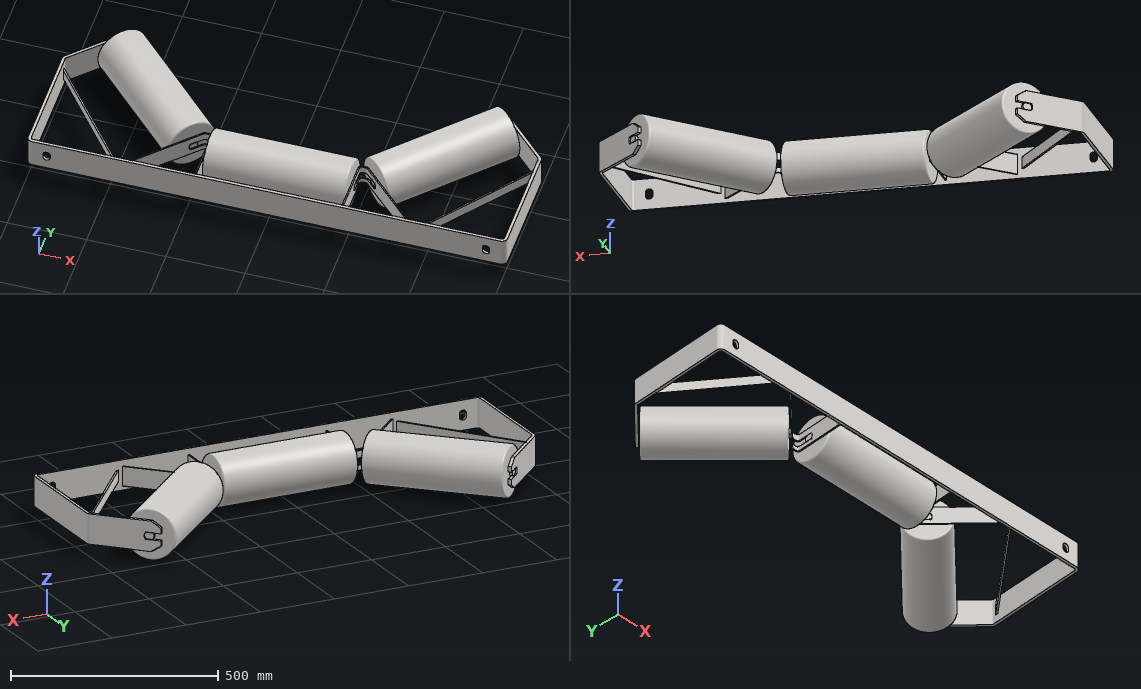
import cadquery as cq
import math

frame_length = 1210.0
frame_side_rise = 301.0
wing_angle = 45.0
frame_arm_length = 186.0
frame_thickness = 8.0
frame_width = 79.0
frame_bend_radius = 15.0
arm_chamfer_along = 24.0
arm_chamfer_across = 16.0
mount_slot_length = 25.0
mount_slot_width = 18.0
mount_slot_inset = 51.0

roller_diameter = 133.0
roller_length = 360.0
roller_edge_radius = 5.0
shaft_diameter = 24.0
shaft_flat_width = 18.0
center_axis_rise = 126.0
wing_center_offset = 359.0
wing_center_rise = 276.0
axis_drop = 6.0

bracket_thickness = 4.0
bracket_width = 51.0
bracket_inner_face = 184.0
bracket_top_rise = 167.0
bracket_bend_radius = 10.0
bracket_wing_gap = 5.0

brace_thickness = 5.0
brace_width = 29.0
brace_foot_offset = 375.0
brace_top_rise = 288.0

slope = math.radians(wing_angle)
half_length = frame_length / 2
side_inner_face = half_length - frame_thickness
shaft_half_length = bracket_inner_face + bracket_thickness
wing_tilt = math.degrees(math.asin(axis_drop / (2 * shaft_half_length)))
mean_drop = axis_drop / 2
SIDES = (-1, 1)


def bent_bar(outer, thickness, width, bend_radius):
    """Flat bar bent along a polyline of its outer face, with its thickness on the left."""
    path = cq.Wire.makePolygon([cq.Vector(x, y, 0) for x, y in outer]).fillet(bend_radius)
    start = cq.Vector(*outer[0], 0)
    along = cq.Vector(*outer[1], 0) - start
    to_left = cq.Vector(-along.y, along.x, 0)
    section = cq.Workplane(cq.Plane(start, to_left, along)).center(thickness / 2, 0)
    return section.rect(thickness, width).sweep(path)


def round_bar(length, diameter):
    """Cylinder along X, centred on the origin."""
    return cq.Workplane("YZ").workplane(offset=-length / 2).circle(diameter / 2).extrude(length)


def shaft_profile(length):
    """Shaft along X with two flats facing +Z and -Z."""
    shaft = round_bar(length, shaft_diameter)
    return shaft.intersect(cq.Workplane("XY").box(length, shaft_diameter, shaft_flat_width))


def place(body, side):
    """Move a body built along X to a roller station: -1 left wing, 0 centre, 1 right wing."""
    if side == 0:
        return body.translate((0, center_axis_rise, -axis_drop))
    tilted = body.rotate((0, 0, 0), (0, 1, 0), -side * wing_tilt)
    turned = tilted.rotate((0, 0, 0), (0, 0, 1), side * wing_angle)
    return turned.translate((side * wing_center_offset, wing_center_rise, -mean_drop))


def make_roller(side):
    drum = round_bar(roller_length, roller_diameter)
    drum = drum.faces("<X or >X").edges().fillet(roller_edge_radius)
    return place(drum.union(shaft_profile(2 * shaft_half_length)), side)


def make_seat(side):
    reach = roller_diameter
    length = 2 * shaft_half_length + shaft_diameter
    mouth = cq.Workplane("XY").box(length, reach, shaft_flat_width).translate((0, reach / 2, 0))
    seat = shaft_profile(length).union(mouth)
    return place(seat, side)


def make_tip_cuts(tip_x, tip_y, side):
    """Two wedges that take the corners off the tip of a sloping arm."""
    half_width = frame_width / 2
    cuts = cq.Workplane("YZ")
    for edge in SIDES:
        cuts = cuts.polyline([
            (0, edge * half_width),
            (0, edge * (half_width - arm_chamfer_across)),
            (-arm_chamfer_along, edge * half_width),
        ]).close()
    cuts = cuts.extrude(2 * frame_thickness, both=True)
    return cuts.rotate((0, 0, 0), (0, 0, 1), side * wing_angle).translate((tip_x, tip_y, 0))


def make_frame():
    arm_x = half_length - frame_arm_length * math.sin(slope)
    arm_y = frame_side_rise + frame_arm_length * math.cos(slope)
    right = [(half_length, 0), (half_length, frame_side_rise), (arm_x, arm_y)]
    left = [(-x, y) for x, y in reversed(right)]
    frame = bent_bar(left + right, frame_thickness, frame_width, frame_bend_radius)

    slots = (
        cq.Workplane("XZ")
        .pushPoints([(side * (half_length - mount_slot_inset), 0) for side in SIDES])
        .slot2D(mount_slot_length, mount_slot_width, 90)
        .extrude(-frame_thickness)
    )
    frame = frame.cut(slots)
    for side in SIDES:
        frame = frame.cut(make_tip_cuts(side * arm_x, arm_y, side)).cut(make_seat(side))
    return frame


def above_base():
    """Block that fills the space inside the frame, on top of the base."""
    block = cq.Workplane("XY").box(2 * side_inner_face, frame_side_rise, 2 * frame_width)
    return block.translate((0, frame_thickness + frame_side_rise / 2, 0))


def make_bracket(side):
    """Left bracket, mirrored for the right side, with seats for the two shafts it carries."""
    wing_reach = roller_length / 2 + bracket_wing_gap
    face_x = -wing_center_offset + wing_reach * math.cos(slope)
    face_y = wing_center_rise - wing_reach * math.sin(slope)

    def slope_x(rise):
        return face_x + (rise - face_y) * math.tan(slope)

    outer = [
        (-bracket_inner_face, 0),
        (-bracket_inner_face, bracket_top_rise),
        (slope_x(bracket_top_rise), bracket_top_rise),
        (slope_x(-bracket_thickness), -bracket_thickness),
    ]
    bracket = bent_bar(outer, bracket_thickness, bracket_width, bracket_bend_radius)
    bracket = bracket.translate((0, 0, -mean_drop)).intersect(above_base())
    if side > 0:
        bracket = bracket.mirror("YZ")
    return bracket.cut(make_seat(side)).cut(make_seat(0))


def make_brace(side):
    angle = math.atan2(brace_top_rise - frame_thickness, side_inner_face - brace_foot_offset)
    foot = brace_thickness / math.sin(angle)
    top = brace_thickness / math.cos(angle)
    outline = [
        (side * brace_foot_offset, frame_thickness),
        (side * side_inner_face, brace_top_rise),
        (side * side_inner_face, brace_top_rise - top),
        (side * (brace_foot_offset + foot), frame_thickness),
    ]
    return cq.Workplane("XY").polyline(outline).close().extrude(brace_width / 2, both=True)


frame = make_frame()
rollers = [make_roller(side) for side in (-1, 0, 1)]
brackets = [make_bracket(side) for side in SIDES]
braces = [make_brace(side) for side in SIDES]

bodies = [frame, *rollers, *brackets, *braces]
result = cq.Compound.makeCompound([body.val() for body in bodies])